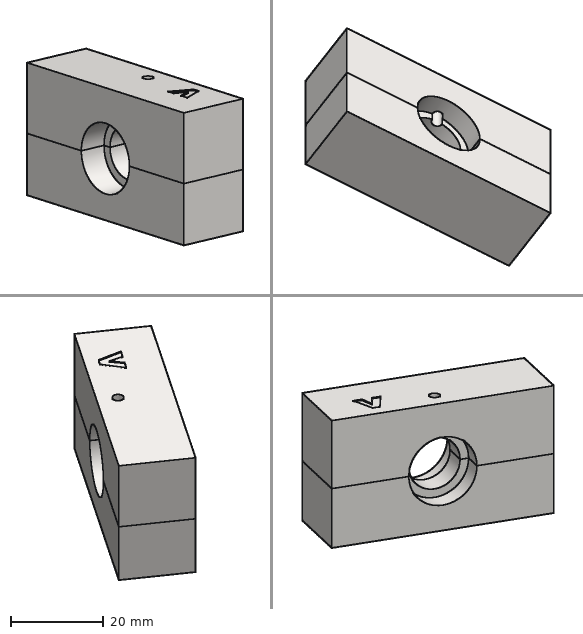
import cadquery as cq

length = 52.2
width = 17.0
upper_height = 16.0
lower_height = 14.0
front_y = -width / 2
back_y = width / 2

small_bore_diameter = 12.0
large_bore_diameter = 16.0
front_bore_depth = 6.5
back_bore_depth = 4.75
back_step_y = back_y - back_bore_depth

guide_hole_diameter = 2.5

arrow_x = 14.3
arrow_base_y = -0.2
arrow_height = 5.4
arrow_width = 6.5
arrow_tip_width = 1.7
arrow_foot_width = 2.1
arrow_notch_height = 3.2
engraving_depth = 0.25


def block_half(bottom_z, height):
    """Plain rectangular half block standing on bottom_z."""
    return (
        cq.Workplane("XY", origin=(0, 0, bottom_z))
        .rect(length, width)
        .extrude(height)
    )


def bore_cylinder(end_y, diameter, depth):
    """Cylinder on the bore axis, running from end_y toward the front."""
    return (
        cq.Workplane("XZ", origin=(0, end_y, 0))
        .circle(diameter / 2)
        .extrude(depth)
    )


def stepped_bore():
    """Solid that fills the bore: wide at both ends, narrow in between."""
    narrow_part = bore_cylinder(back_y, small_bore_diameter, width)
    front_part = bore_cylinder(front_y + front_bore_depth, large_bore_diameter, front_bore_depth)
    back_part = bore_cylinder(back_y, large_bore_diameter, back_bore_depth)
    return narrow_part.union(front_part).union(back_part)


def guide_hole():
    """Solid that fills the guide hole from the split plane to the top face."""
    return (
        cq.Workplane("XY", origin=(0, back_step_y, 0))
        .circle(guide_hole_diameter / 2)
        .extrude(upper_height)
    )


def arrow_engraving():
    """Open chevron, symmetric about its own centre line."""
    half_width = arrow_width / 2
    half_tip = arrow_tip_width / 2
    inner_foot = half_width - arrow_foot_width
    return (
        cq.Workplane("XY", origin=(arrow_x, arrow_base_y, upper_height))
        .moveTo(-half_width, 0)
        .lineTo(-half_tip, arrow_height)
        .lineTo(half_tip, arrow_height)
        .lineTo(half_width, 0)
        .lineTo(inner_foot, 0)
        .lineTo(0, arrow_notch_height)
        .lineTo(-inner_foot, 0)
        .close()
        .extrude(-engraving_depth)
    )


bore = stepped_bore()

upper_half = (
    block_half(0, upper_height)
    .cut(bore)
    .cut(guide_hole())
    .cut(arrow_engraving())
)

lower_half = block_half(-lower_height, lower_height).cut(bore)

result = cq.Compound.makeCompound([upper_half.val(), lower_half.val()])